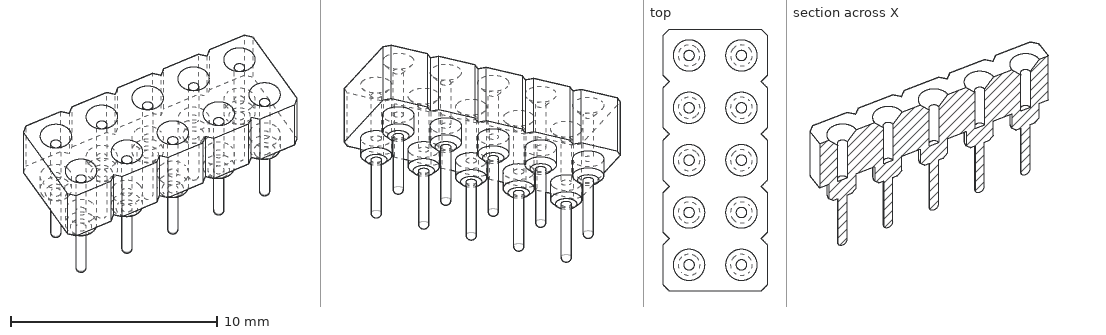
import cadquery as cq

pitch = 2.54
columns = 2
rows = 5

body_width = columns * pitch
body_length = rows * pitch
body_height = 3.0
notch_depth = 0.3

collar_diameter = 1.52
collar_height = 1.2
collar_chamfer = 0.24

pin_diameter = 0.51
overall_height = 7.43
pin_reach = overall_height - body_height

funnel_diameter = collar_diameter
funnel_depth = 0.58
bore_diameter = pin_diameter


def make_body():
    """Block with chamfered corners and V-notches between the rows on both long sides."""
    body = (
        cq.Workplane("XY")
        .rect(body_width, body_length)
        .extrude(body_height)
        .edges("|Z")
        .chamfer(notch_depth)
    )
    half_width = body_width / 2
    notch_spots = [
        (side * half_width, (row - rows / 2) * pitch)
        for side in (-1, 1)
        for row in range(1, rows)
    ]
    notches = (
        cq.Workplane("XY")
        .pushPoints(notch_spots)
        .polygon(4, 2 * notch_depth)
        .extrude(body_height)
    )
    return body.cut(notches)


def make_contact():
    """Collar and round-tipped pin hanging from the body underside."""
    collar = (
        cq.Workplane("XY")
        .circle(collar_diameter / 2)
        .extrude(-collar_height)
        .faces("<Z")
        .chamfer(collar_chamfer)
    )
    tip_radius = pin_diameter / 2
    straight_reach = pin_reach - tip_radius
    pin = cq.Workplane("XY").circle(tip_radius).extrude(-straight_reach)
    tip = cq.Workplane("XY", origin=(0, 0, -straight_reach)).sphere(tip_radius)
    return collar.union(pin).union(tip)


def make_socket():
    """Cutter for the funnel and the bore, which ends level with the body underside."""
    funnel_bottom = body_height - funnel_depth
    return (
        cq.Workplane("XZ")
        .lineTo(bore_diameter / 2, 0)
        .lineTo(bore_diameter / 2, funnel_bottom)
        .lineTo(funnel_diameter / 2, body_height)
        .lineTo(0, body_height)
        .close()
        .revolve(360, (0, 0, 0), (0, 1, 0))
    )


def on_grid(shape):
    """Copies of a shape at every contact position."""
    return (
        cq.Workplane("XY")
        .rarray(pitch, pitch, columns, rows)
        .eachpoint(lambda location: shape.val().moved(location))
    )


result = make_body().union(on_grid(make_contact())).cut(on_grid(make_socket()))